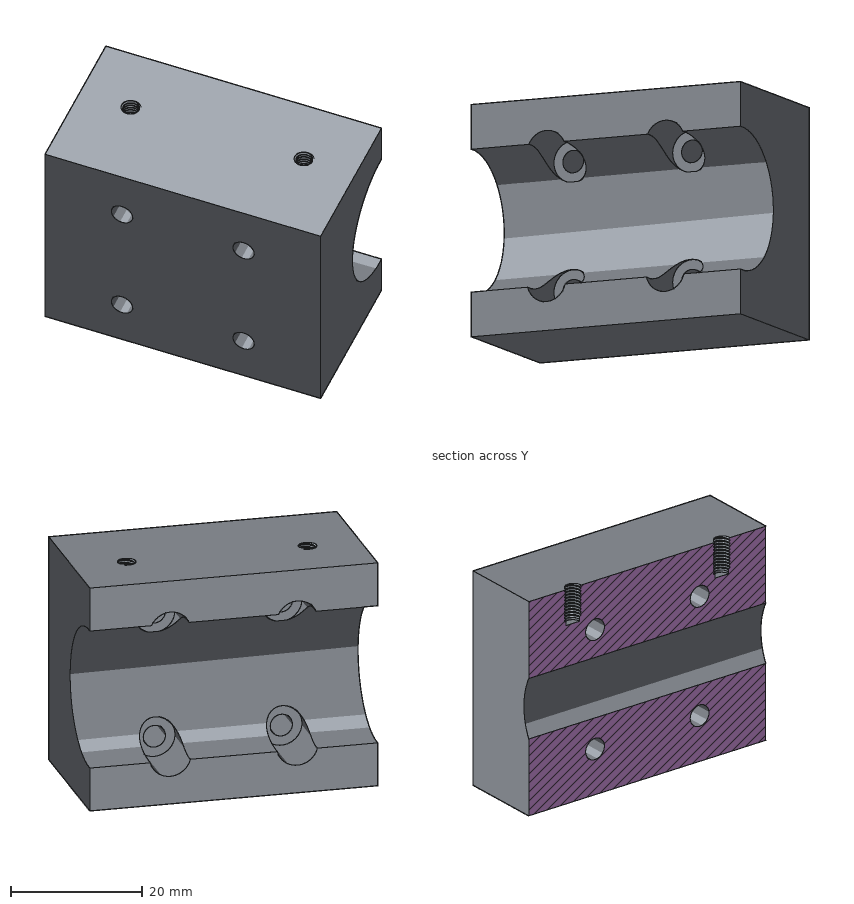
import cadquery as cq

length = 45.4
depth = 24.5
height = 36.0

channel_radius = 11.1
channel_axis_inset = 0.65

mount_diameter = 3.5
counterbore_diameter = 6.5
counterbore_floor_thickness = 15.0
mount_spacing = 20.0
mount_center_z = -0.25

thread_minor_diameter = 2.55
thread_major_diameter = 3.1
thread_pitch = 0.5
thread_depth = 6.0
thread_start_angle = 180.0
thread_spacing = 28.5
thread_y = 1.75
root_width = thread_pitch / 8
crest_gap = thread_pitch / 8
cut_overlap = 0.05

top_z = height / 2
back_y = depth / 2


def make_channel():
    """Round channel whose axis lies just inside the back face."""
    axis_y = back_y - channel_axis_inset
    return cq.Workplane("YZ").center(axis_y, 0).circle(channel_radius).extrude(length / 2, both=True)


def make_thread_hole():
    """Blind hole hanging below Z = 0, with one helical V groove cut into its wall."""
    minor_radius = thread_minor_diameter / 2
    major_radius = thread_major_diameter / 2
    inner_radius = minor_radius - cut_overlap
    half_mouth = (thread_pitch - crest_gap) / 2
    core = cq.Workplane("XY").circle(minor_radius).extrude(-thread_depth)
    path = cq.Wire.makeHelix(thread_pitch, thread_depth, minor_radius)
    groove = (
        cq.Workplane("XZ")
        .moveTo(inner_radius, -half_mouth)
        .lineTo(major_radius, -root_width / 2)
        .lineTo(major_radius, root_width / 2)
        .lineTo(inner_radius, half_mouth)
        .close()
        .sweep(path, isFrenet=True)
        .translate((0, 0, -thread_depth + thread_pitch))
    )
    above_top = cq.Workplane("XY").circle(2 * major_radius).extrude(2 * thread_pitch)
    hole = core.union(groove.cut(above_top))
    return hole.rotate((0, 0, 0), (0, 0, 1), thread_start_angle)


def make_mount_cylinders(diameter, front_distance):
    """Four cylinders in the mounting pattern, from a distance behind the front face to the back face."""
    return (
        cq.Workplane("XZ", origin=(0, back_y, mount_center_z))
        .rarray(mount_spacing, mount_spacing, 2, 2)
        .circle(diameter / 2)
        .extrude(depth - front_distance)
    )


block = cq.Workplane("XY").box(length, depth, height)
block = block.cut(make_channel())
block = block.cut(make_mount_cylinders(mount_diameter, 0))
block = block.cut(make_mount_cylinders(counterbore_diameter, counterbore_floor_thickness))

thread_hole = make_thread_hole()
for side in (-1, 1):
    block = block.cut(thread_hole.translate((side * thread_spacing / 2, thread_y, top_z)))

result = block